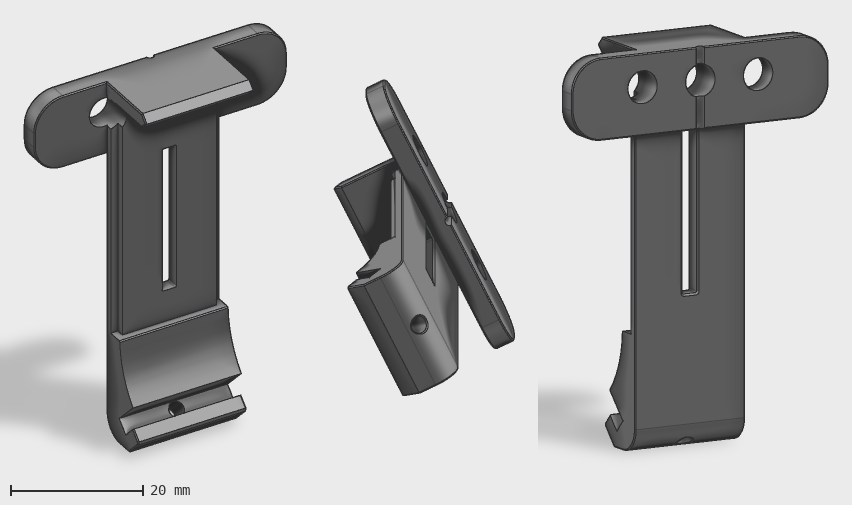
import cadquery as cq
import math

total_height = 62.5
total_depth = 14.8
edge_chamfer = 0.2

plate_width = 44.4
plate_height = 12.7
plate_thickness = 3.2
plate_corner_radius = 5.05
plate_middle_z = total_height - plate_height / 2

hole_diameter = 5.05
hole_spacing = 10.0
hole_z = 57.3
groove_diameter = 1.4

strap_width = 19.05
strap_front = plate_thickness
strap_thickness = 2.55
strap_back = strap_front + strap_thickness
side_step_x = strap_front + 1.25
side_step_inset = 1.25

tongue_thickness = 2.5
tongue_bottom = total_height - tongue_thickness
tongue_point = tongue_thickness / 2
tongue_root_x = plate_thickness / 2

slot_width = 2.5
slot_top = 49.25
slot_bottom = 23.9
slot_height = slot_top - slot_bottom
slot_corner_radius = 0.25
slot_chamfer = 0.3

shelf_z = 18.4
shelf_x = 7.1
shelf_chamfer = 0.2
foot_radius = 3.8
back_curve_radius = 15.0
notch_corner = (6.95, 4.5)
notch_width = 2.7
notch_long_wall = 5.75
notch_short_wall = 3.05
lip_thickness = 2.5
lip_chamfer = 0.4
drain_diameter = 2.55
drain_chamfer = 0.2


def diagonal(start, along, across):
    """Point reached from start along the notch axis (+X +Z) and across it (+X -Z)."""
    half = math.sqrt(0.5)
    return (start[0] + half * (along + across), start[1] + half * (along - across))


def make_plate():
    blank = (
        cq.Workplane("YZ")
        .center(0, plate_middle_z)
        .rect(plate_width, plate_height)
        .extrude(plate_thickness)
        .edges("|X")
        .fillet(plate_corner_radius)
    )
    return blank.faces("<X or >X").chamfer(edge_chamfer)


def make_tongue():
    return (
        cq.Workplane("XZ")
        .moveTo(tongue_root_x, tongue_bottom)
        .lineTo(total_depth - tongue_point, tongue_bottom)
        .lineTo(total_depth, tongue_bottom + tongue_point)
        .lineTo(total_depth - tongue_point, total_height)
        .lineTo(tongue_root_x, total_height)
        .close()
        .extrude(strap_width / 2, both=True)
        .faces("<Y or >Y")
        .chamfer(edge_chamfer)
    )


def make_strap_and_hook():
    back_tip = diagonal(notch_corner, notch_long_wall, 0)
    notch_floor_end = diagonal(notch_corner, 0, notch_width)
    lip_inner = diagonal(notch_floor_end, notch_short_wall, 0)
    lip_outer_top = diagonal(lip_inner, 0, lip_thickness - lip_chamfer)
    lip_outer_side = diagonal(lip_inner, -lip_chamfer, lip_thickness)
    foot_end_x = lip_outer_side[0] - lip_outer_side[1]
    body = (
        cq.Workplane("XZ")
        .moveTo(strap_front, total_height - edge_chamfer)
        .lineTo(strap_back, total_height - edge_chamfer)
        .lineTo(strap_back, shelf_z)
        .lineTo(shelf_x - shelf_chamfer, shelf_z)
        .lineTo(shelf_x, shelf_z - shelf_chamfer)
        .radiusArc(back_tip, -back_curve_radius)
        .lineTo(*notch_corner)
        .lineTo(*notch_floor_end)
        .lineTo(*lip_inner)
        .lineTo(*lip_outer_top)
        .lineTo(*lip_outer_side)
        .lineTo(foot_end_x, 0)
        .lineTo(strap_front + foot_radius, 0)
        .radiusArc((strap_front, foot_radius), foot_radius)
        .close()
        .extrude(strap_width / 2, both=True)
    )
    front_edges = body.edges("<X and |Z")
    lip_edges = body.edges("not |Y").edges(
        cq.selectors.BoxSelector(
            (lip_inner[0], -strap_width, 0),
            (total_depth, strap_width, lip_inner[1]),
        )
    )
    return front_edges.add(lip_edges).chamfer(edge_chamfer)


def cut_side_steps(body):
    step_height = tongue_bottom - shelf_z
    for side in (-1, 1):
        step = cq.Workplane("XY").box(
            strap_thickness, side_step_inset, step_height, centered=(False, True, False)
        )
        step_y = side * (strap_width - side_step_inset) / 2
        body = body.cut(step.translate((side_step_x, step_y, shelf_z)))
    return body


def make_slot():
    slot_middle_z = (slot_top + slot_bottom) / 2
    front_plane = cq.Plane.named("YZ", origin=(strap_front, 0, slot_middle_z))
    straight = (
        cq.Workplane(front_plane)
        .rect(slot_width, slot_height)
        .extrude(strap_thickness)
        .edges("|X")
        .fillet(slot_corner_radius)
    )
    rim_outline = (
        cq.Sketch()
        .rect(slot_width + 2 * slot_chamfer, slot_height + 2 * slot_chamfer)
        .vertices()
        .fillet(slot_corner_radius + slot_chamfer)
    )
    rim = (
        cq.Workplane(front_plane)
        .placeSketch(rim_outline)
        .extrude(slot_chamfer, taper=45)
    )
    return straight.union(rim)


def make_plate_holes():
    return (
        cq.Workplane("YZ")
        .pushPoints([(i * hole_spacing, hole_z) for i in (-1, 0, 1)])
        .circle(hole_diameter / 2)
        .extrude(strap_back)
    )


def make_groove():
    return (
        cq.Workplane("XY", origin=(0, 0, total_height - plate_height))
        .circle(groove_diameter / 2)
        .extrude(plate_height)
    )


def make_drain():
    """Round hole from the middle of the notch floor to the rounded foot."""
    floor_x, floor_z = diagonal(notch_corner, 0, notch_width / 2)
    axis_plane = cq.Plane(origin=(floor_x, 0, floor_z), xDir=(0, 1, 0), normal=(-1, 0, -1))
    return cq.Workplane(axis_plane).circle(drain_diameter / 2).extrude(2 * foot_radius)


def cut_drain(body):
    """Cut the drain and chamfer its mouth on the foot."""
    mouth = cq.selectors.BoxSelector(
        (strap_front, -drain_diameter, 0),
        (strap_front + foot_radius, drain_diameter, foot_radius / 2),
    )
    drained = body.cut(make_drain())
    return drained.edges("not |Y").edges(mouth).chamfer(drain_chamfer)


strap = cut_side_steps(cut_drain(make_strap_and_hook()))
result = (
    make_plate()
    .union(strap)
    .union(make_tongue())
    .cut(make_plate_holes())
    .cut(make_slot())
    .cut(make_groove())
)